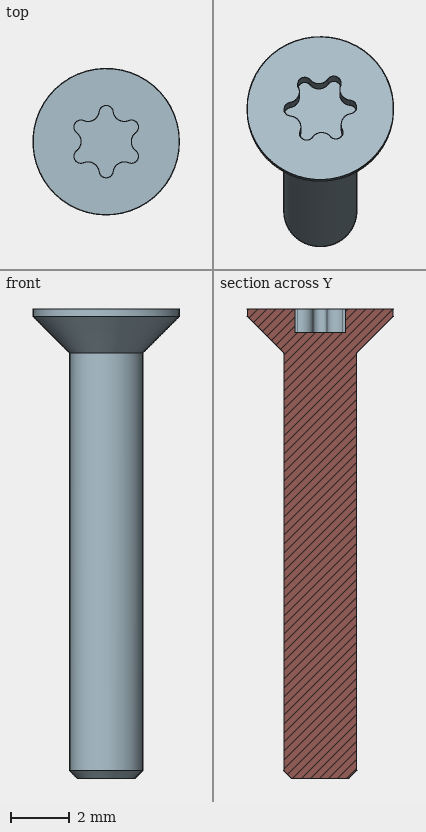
import cadquery as cq
import math

total_length = 16.0
head_diameter = 5.0
shank_diameter = 2.5
rim_height = 0.25
tip_chamfer = 0.27

lobe_count = 6
recess_tip_radius = 1.23
lobe_radius = 0.24
flute_radius = 0.38
recess_depth = 0.8

head_radius = head_diameter / 2
shank_radius = shank_diameter / 2
cone_height = head_radius - shank_radius
rim_bottom = total_length - rim_height


def make_body():
    """Revolve the half profile of the head, shank and chamfered tip."""
    return (
        cq.Workplane("XZ")
        .lineTo(shank_radius - tip_chamfer, 0)
        .lineTo(shank_radius, tip_chamfer)
        .lineTo(shank_radius, rim_bottom - cone_height)
        .lineTo(head_radius, rim_bottom)
        .lineTo(head_radius, total_length)
        .lineTo(0, total_length)
        .close()
        .revolve(360, (0, 0, 0), (0, 1, 0))
    )


def polar(radius, angle):
    return (radius * math.cos(angle), radius * math.sin(angle))


def make_recess():
    """Six round lobes joined by concave arcs tangent to them."""
    half_pitch = math.pi / lobe_count
    lobe_center = recess_tip_radius - lobe_radius
    flute_center = solve_flute_center(lobe_center, half_pitch)
    flute_x, flute_y = polar(flute_center, half_pitch)
    share = lobe_radius / (lobe_radius + flute_radius)
    tangent_x = lobe_center + share * (flute_x - lobe_center)
    tangent_y = share * flute_y
    tangent_radius = math.hypot(tangent_x, tangent_y)
    tangent_angle = math.atan2(tangent_y, tangent_x)

    first_lobe = math.pi / 2
    outline = cq.Workplane("XY", origin=(0, 0, total_length - recess_depth))
    outline = outline.moveTo(*polar(tangent_radius, first_lobe - tangent_angle))
    for index in range(lobe_count):
        lobe = first_lobe + 2 * half_pitch * index
        next_lobe = lobe + 2 * half_pitch
        outline = outline.threePointArc(
            polar(recess_tip_radius, lobe),
            polar(tangent_radius, lobe + tangent_angle),
        ).threePointArc(
            polar(flute_center - flute_radius, lobe + half_pitch),
            polar(tangent_radius, next_lobe - tangent_angle),
        )
    return outline.close().extrude(recess_depth)


def solve_flute_center(lobe_center, half_pitch):
    """Distance from the axis at which a flute arc touches its two lobes."""
    along = lobe_center * math.cos(half_pitch)
    across = lobe_center * math.sin(half_pitch)
    return along + math.sqrt((lobe_radius + flute_radius) ** 2 - across**2)


result = make_body().cut(make_recess())